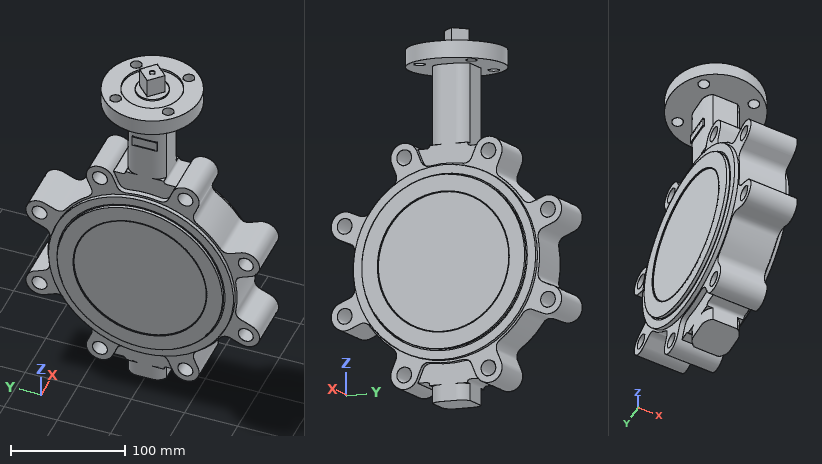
import cadquery as cq
import math


overall_height = 334.55
selection_tolerance = 0.1

ring_radius = 89.0
ring_width = 46.0
collar_radius = 87.0
collar_width = 54.0
lug_count = 8
lug_circle_radius = 105.0
lug_radius = 13.0
lug_hole_diameter = 14.0
lug_root_fillet = 8.0

neck_width = 36.0
neck_side_flat = 24.0
neck_face_flat = 14.4
neck_bottom_z = -122.4
pad_height = 104.3
pad_half_length = 40.0
pad_fillet = 3.0
nameplate_length = 23.4
nameplate_height = 9.4
nameplate_projection = 0.9
nameplate_center_z = 145.0

flange_diameter = 90.0
flange_bottom_z = 178.7
flange_top_z = 194.15
flange_bolt_circle = 70.0
flange_bolt_count = 4
flange_hole_diameter = 10.0
spigot_diameter = 55.0
spigot_depth = 2.0

liner_width = 60.0
liner_radius = 79.0
liner_lip_radius = 77.8
disc_radius = 62.2
disc_recess = 1.0
liner_mouth_radius = 62.8
disc_width = liner_width - 2 * disc_recess

stem_diameter = 30.0
stem_shoulder_drop = 0.5
stem_square = 17.0
stem_top_z = neck_bottom_z + overall_height
stem_socket_depth = 20.0
stem_hole_diameter = 5.0
stem_hole_depth = 1.0
stem_bottom_z = disc_radius - stem_socket_depth
stem_shoulder_z = flange_top_z - stem_shoulder_drop


def x_cylinder(radius, width):
    """Cylinder on the flow axis, centred on the stem axis."""
    return cq.Workplane("YZ").circle(radius).extrude(width / 2, both=True)


def z_cylinder(diameter, bottom_z, top_z):
    """Cylinder on the stem axis."""
    return cq.Workplane("XY").workplane(offset=bottom_z).circle(diameter / 2).extrude(top_z - bottom_z)


def ring_with_lugs():
    """Ring whose lugs straddle the stem axis, blended into the ring at their roots."""
    lug = cq.Workplane("YZ").center(lug_circle_radius / 2, 0)
    lug = lug.rect(lug_circle_radius, 2 * lug_radius).extrude(ring_width / 2, both=True)
    lug_end = cq.Workplane("YZ").center(lug_circle_radius, 0)
    lug = lug.union(lug_end.circle(lug_radius).extrude(ring_width / 2, both=True))

    pitch = 360 / lug_count
    ring = x_cylinder(ring_radius, ring_width).rotate((0, 0, 0), (1, 0, 0), pitch / 2)
    for i in range(lug_count):
        ring = ring.union(lug.rotate((0, 0, 0), (1, 0, 0), (i + 0.5) * pitch))

    roots = ring.edges("|X").filter(
        lambda edge: math.hypot(edge.Center().y, edge.Center().z) < ring_radius + selection_tolerance
    )
    return roots.fillet(lug_root_fillet)


def lug_holes():
    holes = cq.Workplane("YZ").polarArray(lug_circle_radius, 180 / lug_count, 360, lug_count)
    return holes.circle(lug_hole_diameter / 2).extrude(ring_width / 2, both=True)


def neck():
    """Column with corners that are tangent to its X faces and end sharply at its Y sides."""
    half = neck_width / 2
    half_side_flat = neck_side_flat / 2
    half_face_flat = neck_face_flat / 2
    inset_x = half - half_side_flat
    inset_y = half - half_face_flat
    corner_radius = (inset_x**2 + inset_y**2) / (2 * inset_x)
    outline = (
        cq.Workplane("XY").workplane(offset=neck_bottom_z)
        .moveTo(half, -half_face_flat)
        .lineTo(half, half_face_flat)
        .radiusArc((half_side_flat, half), -corner_radius)
        .lineTo(-half_side_flat, half)
        .radiusArc((-half, half_face_flat), -corner_radius)
        .lineTo(-half, -half_face_flat)
        .radiusArc((-half_side_flat, -half), -corner_radius)
        .lineTo(half_side_flat, -half)
        .radiusArc((half, -half_face_flat), -corner_radius)
        .close()
    )
    return outline.extrude(flange_bottom_z - neck_bottom_z)


def pads():
    """Webs that fill the gap between the lugs above and below the ring, filleted into the neck."""
    neck_half = neck_width / 2
    fillet_foot = neck_half + pad_fillet
    fillet_top = pad_height + pad_fillet
    outline = (
        cq.Workplane("YZ")
        .moveTo(pad_half_length, -pad_height)
        .lineTo(pad_half_length, pad_height)
        .lineTo(fillet_foot, pad_height)
        .radiusArc((neck_half, fillet_top), pad_fillet)
        .lineTo(-neck_half, fillet_top)
        .radiusArc((-fillet_foot, pad_height), pad_fillet)
        .lineTo(-pad_half_length, pad_height)
        .lineTo(-pad_half_length, -pad_height)
        .lineTo(-fillet_foot, -pad_height)
        .radiusArc((-neck_half, -fillet_top), pad_fillet)
        .lineTo(neck_half, -fillet_top)
        .radiusArc((fillet_foot, -pad_height), pad_fillet)
        .close()
    )
    return outline.extrude(neck_width / 2, both=True)


def nameplate():
    outer_x = -neck_width / 2 - nameplate_projection
    depth = neck_width / 2 + nameplate_projection
    plate = cq.Workplane("XY").box(
        depth, nameplate_length, nameplate_height, centered=(False, True, True)
    )
    return plate.translate((outer_x, 0, nameplate_center_z))


def flange():
    plate = z_cylinder(flange_diameter, flange_bottom_z, flange_top_z)
    plate = plate.cut(z_cylinder(spigot_diameter, flange_top_z - spigot_depth, flange_top_z))
    holes = cq.Workplane("XY").workplane(offset=flange_bottom_z)
    holes = holes.polarArray(flange_bolt_circle / 2, 45, 360, flange_bolt_count)
    return plate.cut(holes.circle(flange_hole_diameter / 2).extrude(flange_top_z - flange_bottom_z))


def liner_blank():
    """Solid liner shape: a cylinder flush with the collars, with narrower ends that stand out of them."""
    half = liner_width / 2
    collar_half = collar_width / 2
    profile = [
        (-half, 0),
        (-half, liner_lip_radius),
        (-collar_half, liner_lip_radius),
        (-collar_half, liner_radius),
        (collar_half, liner_radius),
        (collar_half, liner_lip_radius),
        (half, liner_lip_radius),
        (half, 0),
    ]
    return cq.Workplane("XY").polyline(profile).close().revolve(360, (0, 0, 0), (1, 0, 0))


stem_bore = z_cylinder(stem_diameter, stem_bottom_z, flange_top_z)

housing = (
    ring_with_lugs()
    .union(pads())
    .union(neck())
    .union(x_cylinder(collar_radius, collar_width))
    .union(nameplate())
    .union(flange())
    .cut(lug_holes())
    .cut(liner_blank())
    .cut(stem_bore)
)

mouths = x_cylinder(liner_mouth_radius, liner_width).cut(x_cylinder(liner_mouth_radius, disc_width))
liner = liner_blank().cut(x_cylinder(disc_radius, liner_width)).cut(mouths).cut(stem_bore)

disc = x_cylinder(disc_radius, disc_width).cut(stem_bore)

stem = z_cylinder(stem_diameter, stem_bottom_z, stem_shoulder_z)
square_end = cq.Workplane("XY").workplane(offset=stem_shoulder_z).rect(stem_square, stem_square)
square_end = square_end.extrude(stem_top_z - stem_shoulder_z).rotate((0, 0, 0), (0, 0, 1), 45)
stem = stem.union(square_end)
stem = stem.cut(z_cylinder(stem_hole_diameter, stem_top_z - stem_hole_depth, stem_top_z))

result = cq.Compound.makeCompound([housing.val(), liner.val(), disc.val(), stem.val()])